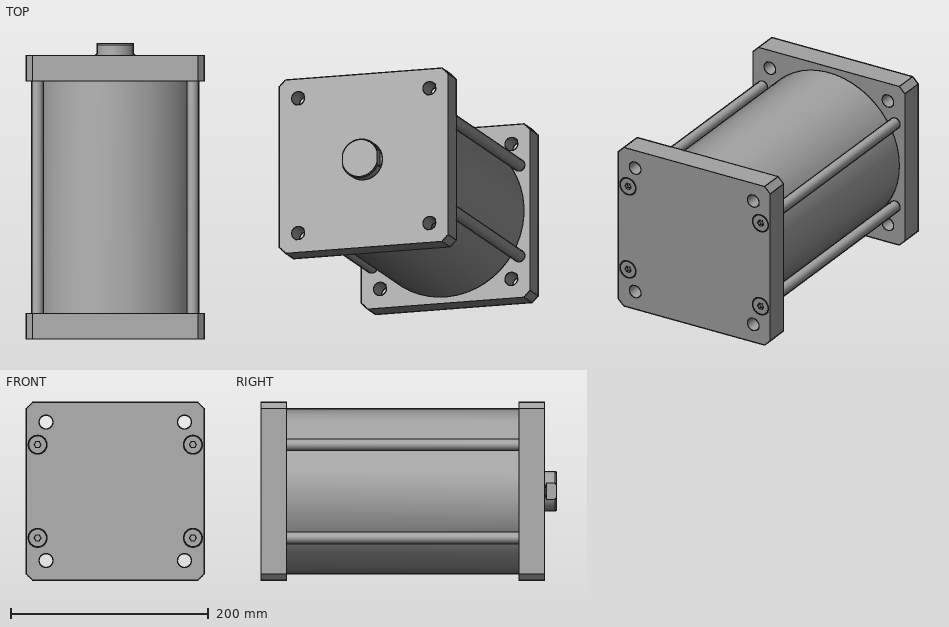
import cadquery as cq


total_length = 299.0
plate_thickness = 26.0
rod_projection = 12.3
rear_plate_start = total_length - rod_projection - plate_thickness

plate_size = 180.0
corner_chamfer = 6.5
mount_hole_diameter = 13.8
mount_hole_pitch = 140.0

barrel_diameter = 167.0

tie_rod_diameter = 12.0
tie_rod_pitch_x = 157.0
tie_rod_pitch_z = 94.2
counterbore_diameter = 19.0
counterbore_depth = 12.0
head_diameter = 18.0
socket_across_corners = 7.0
socket_depth = 3.5

rod_diameter = 40.0
rod_chamfer_length = 1.8
rod_chamfer_depth = 1.0
flat_width = 36.5
flat_length = 10.2


def plane_at(y):
    """Sketch plane across the axis, with local axes along X and Z; extruding by -d goes d toward +Y."""
    return cq.Workplane("XZ", origin=(0, y, 0))


def cylinder(diameter, start, end, centers=((0, 0),)):
    """Round bars along Y between two stations, one at each (x, z) centre."""
    return plane_at(start).pushPoints(centers).circle(diameter / 2).extrude(start - end)


def four_corners(pitch_x, pitch_z):
    """Corner points of a rectangle centred on the axis."""
    return [(side_x * pitch_x / 2, side_z * pitch_z / 2) for side_x in (-1, 1) for side_z in (-1, 1)]


tie_rod_centers = four_corners(tie_rod_pitch_x, tie_rod_pitch_z)


def end_plate(start):
    """Square plate with chamfered corners and four through mounting holes."""
    plate = plane_at(start).rect(plate_size, plate_size).extrude(-plate_thickness)
    plate = plate.edges("|Y").chamfer(corner_chamfer)
    hole_centers = four_corners(mount_hole_pitch, mount_hole_pitch)
    return plate.cut(cylinder(mount_hole_diameter, start, start + plate_thickness, hole_centers))


def screw_head_gaps():
    """Narrow ring between each screw head and its counterbore."""
    counterbores = cylinder(counterbore_diameter, 0, counterbore_depth, tie_rod_centers)
    return counterbores.cut(cylinder(head_diameter, 0, counterbore_depth, tie_rod_centers))


def hex_sockets():
    """Hexagon socket in each screw head."""
    hexagons = plane_at(0).pushPoints(tie_rod_centers).polygon(6, socket_across_corners)
    return hexagons.extrude(-socket_depth)


def flat_cutter():
    """Material removed for the +X wrench flat; its inner end ramps out at 45 degrees."""
    flat_x = flat_width / 2
    flat_end = total_length - flat_length
    ramp = rod_diameter / 2
    outline = [
        (flat_x, total_length),
        (flat_x, flat_end),
        (flat_x + ramp, flat_end - ramp),
        (flat_x + ramp, total_length),
    ]
    return cq.Workplane("XY").polyline(outline).close().extrude(rod_diameter / 2, both=True)


def piston_rod():
    """Rod end with a chamfered tip and a wrench flat on each X side."""
    rod = cylinder(rod_diameter, rear_plate_start, total_length)
    rod = rod.faces(">Y").chamfer(rod_chamfer_length, rod_chamfer_depth)
    flat = flat_cutter()
    return rod.cut(flat).cut(flat.mirror("YZ"))


barrel = cylinder(barrel_diameter, plate_thickness, rear_plate_start)
tie_rods = cylinder(tie_rod_diameter, plate_thickness, rear_plate_start, tie_rod_centers)

result = end_plate(0).union(barrel).union(tie_rods)
result = result.union(end_plate(rear_plate_start)).union(piston_rod())
result = result.cut(screw_head_gaps()).cut(hex_sockets())